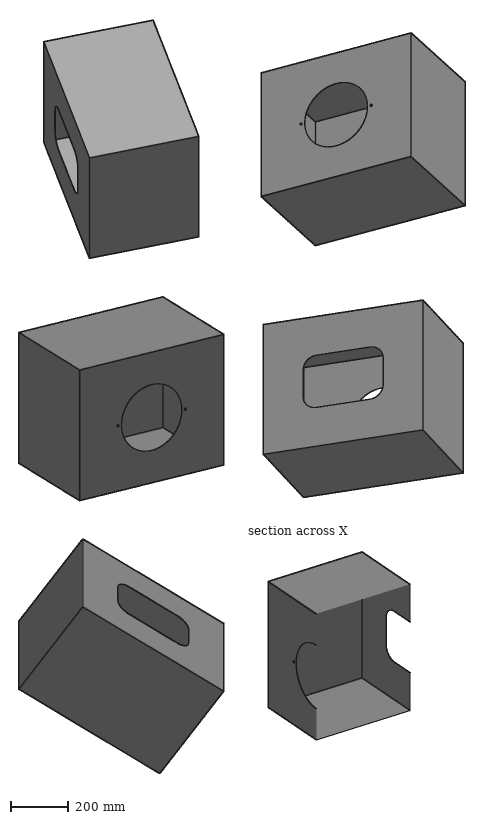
import cadquery as cq

width = 600.0
depth = width * 2 / 3
height = width * 5 / 6
wall = 2.0
edge_radius = 2.5

window_width = width / 2
window_height = height * 2 / 5
window_radius = 50.0

port_diameter = 250.0
screw_hole_diameter = 8.0
screw_hole_spacing = 279.5

back_y = depth / 2
panel_front_y = back_y - wall


def slab(x_size, z_size, y_front, y_back):
    """Block centred on X and Z that spans y_front to y_back."""
    block = cq.Workplane("XY").box(x_size, y_back - y_front, z_size)
    return block.translate((0, (y_front + y_back) / 2, 0))


def rounded_block():
    """Outer envelope of the closed cabinet with all its edges rounded."""
    return slab(width, height, -back_y, back_y).edges().fillet(edge_radius)


def make_housing():
    """Hollow box with an open back and a rounded window in its front wall."""
    cavity = slab(width - 2 * wall, height - 2 * wall, -back_y + wall, back_y)
    window = slab(window_width, window_height, -back_y, -back_y + wall)
    window = window.edges("|Y").fillet(window_radius)
    return rounded_block().cut(cavity).cut(window)


def make_back_panel():
    """Plate set inside the open back, with a round port and a screw hole on each side of it."""
    panel = slab(width - 2 * wall, height - 2 * wall, panel_front_y, back_y)
    panel = panel.intersect(rounded_block())
    panel = panel.faces("<Y").workplane(origin=(0, 0, 0)).hole(port_diameter)
    screw_points = [(-screw_hole_spacing / 2, 0), (screw_hole_spacing / 2, 0)]
    return panel.faces("<Y").workplane(origin=(0, 0, 0)).pushPoints(screw_points).hole(screw_hole_diameter)


housing = make_housing()
back_panel = make_back_panel()

result = cq.Compound.makeCompound([housing.val(), back_panel.val()])